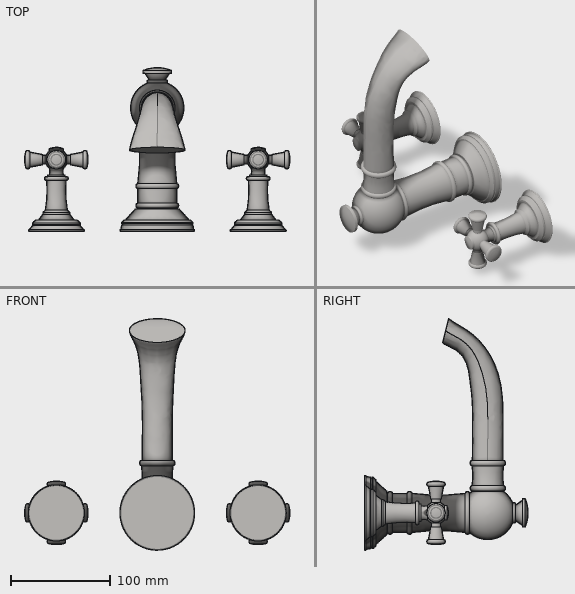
import cadquery as cq


SPOUT_FLANGE_RADIUS = 37.7
SPOUT_FLANGE_EDGE = 2.0
SPOUT_RIM_RADIUS = 36.0
SPOUT_GROOVE_BOTTOM = 6.2
SPOUT_GROOVE_TOP = 7.8
SPOUT_RIM_TOP = 8.8
SPOUT_SHOULDER_RADIUS = 33.5
SPOUT_SHOULDER_HEIGHT = 11.5
SPOUT_CONE_RADIUS = 32.0
SPOUT_CONE_TOP = 22.7
SPOUT_CONE_TOP_RADIUS = 22.0
TRUNK_RADIUS = 19.8
TRUNK_WAIST_RADIUS = 18.0
TRUNK_BEAD_RADIUS = 21.7
TRUNK_BEADS = ((23.5, 28.3), (43.0, 48.1), (101.5, 106.2))
BALL_HEIGHT = 124.3
BALL_RADIUS = 27.0

FINIAL_COLLAR_RADIUS = 10.5
FINIAL_COLLAR_END_RADIUS = 9.4
FINIAL_COLLAR_BOTTOM = 148.7
FINIAL_COLLAR_TOP = 152.5
FINIAL_NECK_RADIUS = 8.0
FINIAL_CONE_RADIUS = 12.5
FINIAL_DISC_RADIUS = 14.5
FINIAL_DISC_BOTTOM = 159.0
FINIAL_DISC_TOP = 162.0
FINIAL_TOP = 165.0

RISER_WAIST_RADIUS = 15.2
RISER_END_RADIUS = 16.0
RISER_BEAD_RADIUS = 18.0
RISER_BEADS = ((22.0, 27.5), (47.3, 53.0))
NOZZLE_SECTIONS = (
    ((139.9, 48.0), (108.8, 47.5), 15.2),
    ((139.9, 63.5), (108.8, 60.0), 15.2),
    ((139.9, 82.0), (108.8, 75.1), 15.2),
    ((139.9, 100.8), (108.8, 90.5), 15.2),
    ((138.8, 120.3), (108.8, 106.0), 15.8),
    ((129.5, 153.8), (106.2, 134.0), 17.5),
    ((117.7, 171.5), (102.7, 150.8), 19.5),
    ((101.3, 185.3), (92.0, 164.2), 24.0),
    ((84.8, 195.7), (79.0, 171.7), 28.0),
)

HANDLE_OFFSET = 101.5
HANDLE_FLANGE_RADIUS = 28.3
HANDLE_FLANGE_EDGE = 1.5
HANDLE_RIM_RADIUS = 24.0
HANDLE_GROOVE_BOTTOM = 6.0
HANDLE_GROOVE_TOP = 7.0
HANDLE_RIM_TOP = 8.5
HANDLE_SHOULDER_RADIUS = 20.9
HANDLE_SHOULDER_HEIGHT = 11.5
HANDLE_CONE_RADIUS = 18.0
HANDLE_CONE_TOP = 17.0
HANDLE_COLLAR_RADIUS = 13.6
HANDLE_COLLAR_EDGE = 19.0
STEM_BOTTOM = 21.5
STEM_BOTTOM_RADIUS = 11.2
STEM_WAIST_RADIUS = 9.5
STEM_TOP = 51.3
STEM_TOP_RADIUS = 10.0
STEM_BEAD_RADIUS = 12.0
STEM_BEAD_TOP = 55.0
NECK_STEP_RADIUS = 8.8
NECK_STEP_TOP = 57.0
NECK_RADIUS = 7.2
NECK_WAIST_RADIUS = 6.7

HUB_HEIGHT = 72.2
HUB_RADIUS = 11.2
HUB_CAP_EDGE = 83.2
HUB_CAP_TOP = 84.8
ARM_COUNT = 4
ARM_ROOT_RADIUS = 4.5
ARM_CONE_START = 14.2
ARM_CONE_RADIUS = 5.3
ARM_CONE_END = 26.7
ARM_CONE_END_RADIUS = 7.8
ARM_BEAD_RADIUS = 9.4
ARM_BEAD_END = 31.0
ARM_DOME_RADIUS = 5.3
ARM_DOME_START = 31.5
ARM_LENGTH = 32.0

GROOVE_DEPTH = 0.8


def turned(outline):
    """Solid of revolution about Y; the (radius, height) outline closes along the axis."""
    bottom = outline[0][1]
    top = outline[-1][1]
    profile = [(0, bottom), *outline, (0, top)]
    return cq.Workplane("XY").polyline(profile).close().revolve(360, (0, 0), (0, 1))


def turned_arc(bottom, bottom_radius, middle_radius, top, top_radius):
    """Solid of revolution about Y whose side is an arc: a bead or a waist."""
    middle = (middle_radius, (bottom + top) / 2)
    return (
        cq.Workplane("XY")
        .moveTo(0, bottom)
        .lineTo(bottom_radius, bottom)
        .threePointArc(middle, (top_radius, top))
        .lineTo(0, top)
        .close()
        .revolve(360, (0, 0), (0, 1))
    )


def dome(base, radius, top):
    """Spherical cap about Y from its base circle to its top."""
    rise = top - base
    sphere_radius = (radius**2 + rise**2) / (2 * rise)
    centre = top - sphere_radius
    half_chord = (sphere_radius**2 - (base + rise / 2 - centre) ** 2) ** 0.5
    return (
        cq.Workplane("XY")
        .moveTo(0, base)
        .lineTo(radius, base)
        .threePointArc((half_chord, base + rise / 2), (0, top))
        .close()
        .revolve(360, (0, 0), (0, 1))
    )


def ball(height, radius):
    """Sphere centred on the Y axis."""
    return cq.Workplane("XY").sphere(radius).translate((0, height, 0))


def along_z(shape):
    """Turn a shape built along Y so that it runs along Z from the trunk axis at the ball."""
    return shape.rotate((0, 0, 0), (1, 0, 0), 90).translate((0, BALL_HEIGHT, 0))



def spout_flange():
    edge_radius = SPOUT_FLANGE_RADIUS - SPOUT_FLANGE_EDGE / 2
    edge = turned_arc(0, edge_radius, SPOUT_FLANGE_RADIUS, SPOUT_FLANGE_EDGE, edge_radius)
    groove_radius = SPOUT_RIM_RADIUS - GROOVE_DEPTH
    body = turned([
        (edge_radius, 0),
        (edge_radius, SPOUT_FLANGE_EDGE),
        (SPOUT_RIM_RADIUS, SPOUT_GROOVE_BOTTOM),
        (groove_radius, SPOUT_GROOVE_BOTTOM),
        (groove_radius, SPOUT_GROOVE_TOP),
        (SPOUT_RIM_RADIUS, SPOUT_GROOVE_TOP),
        (SPOUT_RIM_RADIUS, SPOUT_RIM_TOP),
        (SPOUT_SHOULDER_RADIUS, SPOUT_SHOULDER_HEIGHT),
        (SPOUT_CONE_RADIUS, SPOUT_SHOULDER_HEIGHT),
        (SPOUT_CONE_TOP_RADIUS, SPOUT_CONE_TOP),
    ])
    return body.union(edge)


def trunk():
    waist_bottom = TRUNK_BEADS[1][1]
    waist_top = TRUNK_BEADS[2][0]
    column = turned([(TRUNK_RADIUS, 0), (TRUNK_RADIUS, waist_bottom)])
    waist = turned_arc(waist_bottom, TRUNK_RADIUS, TRUNK_WAIST_RADIUS, waist_top, TRUNK_RADIUS)
    root = turned([(TRUNK_RADIUS, waist_top), (TRUNK_RADIUS, BALL_HEIGHT)])
    body = column.union(waist).union(root)
    for bottom, top in TRUNK_BEADS:
        body = body.union(turned_arc(bottom, TRUNK_RADIUS, TRUNK_BEAD_RADIUS, top, TRUNK_RADIUS))
    return body


def finial():
    root = turned([
        (FINIAL_COLLAR_END_RADIUS, BALL_HEIGHT),
        (FINIAL_COLLAR_END_RADIUS, FINIAL_COLLAR_TOP),
    ])
    collar = turned_arc(
        FINIAL_COLLAR_BOTTOM,
        FINIAL_COLLAR_END_RADIUS,
        FINIAL_COLLAR_RADIUS,
        FINIAL_COLLAR_TOP,
        FINIAL_COLLAR_END_RADIUS,
    )
    knob = turned([
        (FINIAL_NECK_RADIUS, FINIAL_COLLAR_TOP),
        (FINIAL_CONE_RADIUS, FINIAL_DISC_BOTTOM),
        (FINIAL_DISC_RADIUS, FINIAL_DISC_BOTTOM),
        (FINIAL_DISC_RADIUS, FINIAL_DISC_TOP),
    ])
    top = dome(FINIAL_DISC_TOP, FINIAL_DISC_RADIUS, FINIAL_TOP)
    return root.union(collar).union(knob).union(top)


def riser():
    bottom = RISER_BEADS[0][1]
    top = RISER_BEADS[1][0]
    root = turned([(RISER_END_RADIUS, 0), (RISER_END_RADIUS, bottom)])
    waist = turned_arc(bottom, RISER_END_RADIUS, RISER_WAIST_RADIUS, top, RISER_END_RADIUS)
    body = root.union(waist)
    for bead_bottom, bead_top in RISER_BEADS:
        body = body.union(
            turned_arc(bead_bottom, RISER_END_RADIUS, RISER_BEAD_RADIUS, bead_top, RISER_END_RADIUS)
        )
    return along_z(body)


def nozzle_section(outer, inner, half_width):
    """Ellipse through the outer and inner points of the nozzle, its width along X."""
    outer_point = cq.Vector(0, *outer)
    inner_point = cq.Vector(0, *inner)
    depth = outer_point - inner_point
    width_direction = cq.Vector(1, 0, 0)
    return cq.Wire.makeEllipse(
        half_width,
        depth.Length / 2,
        (outer_point + inner_point) / 2,
        width_direction.cross(depth),
        width_direction,
    )


def nozzle():
    wires = [nozzle_section(*section) for section in NOZZLE_SECTIONS]
    return cq.Workplane(cq.Solid.makeLoft(wires))


def make_spout():
    body = spout_flange().union(trunk()).union(ball(BALL_HEIGHT, BALL_RADIUS))
    return body.union(finial()).union(riser()).union(nozzle())



def handle_flange():
    edge_radius = HANDLE_FLANGE_RADIUS - HANDLE_FLANGE_EDGE / 2
    edge = turned_arc(0, edge_radius, HANDLE_FLANGE_RADIUS, HANDLE_FLANGE_EDGE, edge_radius)
    groove_radius = HANDLE_RIM_RADIUS - GROOVE_DEPTH
    body = turned([
        (edge_radius, 0),
        (edge_radius, HANDLE_FLANGE_EDGE),
        (HANDLE_RIM_RADIUS, HANDLE_GROOVE_BOTTOM),
        (groove_radius, HANDLE_GROOVE_BOTTOM),
        (groove_radius, HANDLE_GROOVE_TOP),
        (HANDLE_RIM_RADIUS, HANDLE_GROOVE_TOP),
        (HANDLE_RIM_RADIUS, HANDLE_RIM_TOP),
        (HANDLE_SHOULDER_RADIUS, HANDLE_SHOULDER_HEIGHT),
        (HANDLE_CONE_RADIUS, HANDLE_SHOULDER_HEIGHT),
        (HANDLE_COLLAR_RADIUS, HANDLE_CONE_TOP),
        (HANDLE_COLLAR_RADIUS, HANDLE_COLLAR_EDGE),
        (STEM_BOTTOM_RADIUS, STEM_BOTTOM),
    ])
    return body.union(edge)


def stem():
    shaft = turned_arc(STEM_BOTTOM, STEM_BOTTOM_RADIUS, STEM_WAIST_RADIUS, STEM_TOP, STEM_TOP_RADIUS)
    bead = turned_arc(STEM_TOP, STEM_TOP_RADIUS, STEM_BEAD_RADIUS, STEM_BEAD_TOP, STEM_TOP_RADIUS)
    step = turned([(NECK_STEP_RADIUS, STEM_BEAD_TOP), (NECK_STEP_RADIUS, NECK_STEP_TOP)])
    hub_bottom = HUB_HEIGHT - (HUB_RADIUS**2 - NECK_RADIUS**2) ** 0.5
    neck = turned_arc(NECK_STEP_TOP, NECK_RADIUS, NECK_WAIST_RADIUS, hub_bottom, NECK_RADIUS)
    return shaft.union(bead).union(step).union(neck)


def hub():
    cap = turned([(NECK_RADIUS, HUB_HEIGHT), (NECK_RADIUS, HUB_CAP_EDGE)])
    cap = cap.union(dome(HUB_CAP_EDGE, NECK_RADIUS, HUB_CAP_TOP))
    return ball(HUB_HEIGHT, HUB_RADIUS).union(cap)


def arm():
    """One arm along +Y from the origin."""
    shank = turned([
        (ARM_ROOT_RADIUS, 0),
        (ARM_ROOT_RADIUS, ARM_CONE_START),
        (ARM_CONE_RADIUS, ARM_CONE_START),
        (ARM_CONE_END_RADIUS, ARM_CONE_END),
    ])
    bead = turned_arc(
        ARM_CONE_END, ARM_CONE_END_RADIUS, ARM_BEAD_RADIUS, ARM_BEAD_END, ARM_CONE_END_RADIUS
    )
    face = turned([(ARM_CONE_END_RADIUS, ARM_BEAD_END), (ARM_DOME_RADIUS, ARM_DOME_START)])
    return shank.union(bead).union(face).union(dome(ARM_DOME_START, ARM_DOME_RADIUS, ARM_LENGTH))


def make_handle(x):
    body = handle_flange().union(stem()).union(hub())
    upright_arm = arm().rotate((0, 0, 0), (1, 0, 0), 90)
    for i in range(ARM_COUNT):
        turned_arm = upright_arm.rotate((0, 0, 0), (0, 1, 0), i * 360 / ARM_COUNT)
        body = body.union(turned_arm.translate((0, HUB_HEIGHT, 0)))
    return body.translate((x, 0, 0))


spout = make_spout()
bodies = spout.solids().vals()
for x in (-HANDLE_OFFSET, HANDLE_OFFSET):
    handle = make_handle(x)
    bodies.extend(handle.solids().vals())
result = cq.Compound.makeCompound(bodies)